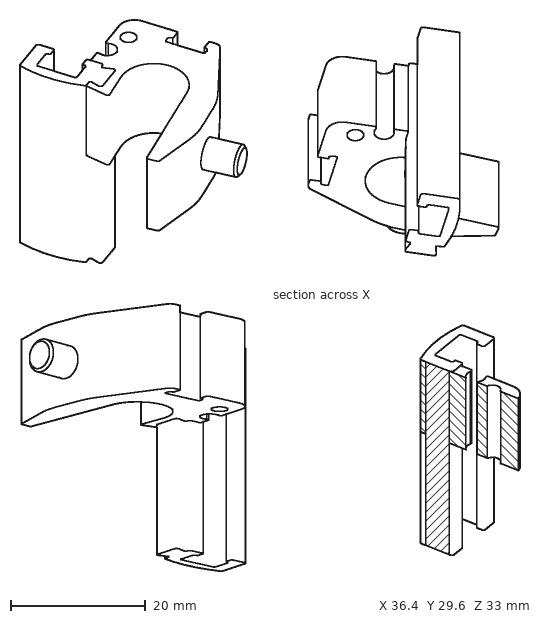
import cadquery as cq
import math

overall_length = 36.4
rail_length = 33.0
clamp_height = 13.0
clamp_bottom = rail_length - clamp_height

rail_width = 11.03
rail_back = -11.97
rail_side_depth = 5.85
rail_bow = 0.8
rail_wall = 2.25
channel_width = 6.62
channel_depth = 4.75
lip_overhang = 0.65
lip_height = 1.45
rail_back_radius = 0.45
rail_front_radius = 0.33
lip_tip_radius = 0.3
channel_corner_radius = 0.33

tongue_end = 13.25
tongue_middle = rail_back - 2.73
tongue_neck_half = 1.82
tongue_end_half = 2.5
tongue_root_radius = 0.3
tongue_tip_radius = 0.4

block_left = rail_wall + channel_width
block_corner_radius = 2.5
flank_radius = 1.1
flank_angle = 25.0

throat_x = 19.95
throat_y = -13.17
throat_radius = 5.25
throat_tilt = 6.0
leg_length = 4.88
leg_end_across = 5.3
leg_corner_radius = 0.33
block_foot_radius = 0.15

jaw_thickness = 5.0
jaw_length = 17.15
jaw_bend = 0.35
jaw_taper_start = 8.75
jaw_tip_width = 2.0
jaw_tip_radius = 0.33
jaw_bend_radius = 10.0

t_slot_left = 17.35
t_slot_mouth_width = 5.15
t_slot_undercut = 0.7
t_slot_mouth_depth = 1.7
t_slot_depth = 2.9
t_slot_shoulder_radius = 0.47
t_slot_floor_radius = 0.22
t_slot_edge_radius = 0.22

hole_diameter = 2.47
hole_x = block_left + 2.5
hole_y = -4.48

keyhole_diameter = 2.95
keyhole_mouth_width = 2.73
keyhole_x = block_left + 1.05
keyhole_y = -8.5
keyhole_edge_radius = 0.2

screw_diameter = 5.0
screw_end_diameter = 4.15
screw_along = 4.85
screw_point_half_angle = 60.0


def throat_point(across, along):
    """Place a point given across the throat and along its walls toward the opening."""
    tilt = math.radians(throat_tilt)
    x = throat_x + across * math.cos(tilt) + along * math.sin(tilt)
    y = throat_y + across * math.sin(tilt) - along * math.cos(tilt)
    return x, y


def round_corners(body, corners, radius):
    """Round the upright edges that stand at the given XY corners."""
    middle_z = body.val().BoundingBox().center.z
    for x, y in corners:
        nearest = cq.selectors.NearestToPointSelector((x, y, middle_z))
        body = body.edges("|Z").edges(nearest).fillet(radius)
    return body


def make_rail():
    rail_front = rail_back - rail_side_depth
    channel_right = rail_wall + channel_width
    mouth_left = rail_wall + lip_overhang
    mouth_right = channel_right - lip_overhang
    lip_under = rail_back - lip_height
    channel_floor = rail_back - channel_depth

    back_corners = [(0, rail_back), (rail_width, rail_back)]
    front_corners = [(rail_width, rail_front), (0, rail_front)]
    tongue_roots = [(rail_width, tongue_middle + side * tongue_neck_half) for side in (1, -1)]
    tongue_tips = [(tongue_end, tongue_middle + side * tongue_end_half) for side in (1, -1)]
    lip_tips = [(mouth_left, rail_back), (mouth_left, lip_under), (mouth_right, rail_back)]
    channel_corners = [
        (rail_wall, lip_under),
        (rail_wall, channel_floor),
        (channel_right, channel_floor),
        (channel_right, lip_under),
    ]

    profile = (
        cq.Workplane("XY")
        .moveTo(*back_corners[0])
        .lineTo(*lip_tips[0])
        .lineTo(*lip_tips[1])
        .polyline(channel_corners, includeCurrent=True)
        .lineTo(mouth_right, lip_under)
        .lineTo(mouth_right, rail_back)
        .lineTo(*back_corners[1])
        .lineTo(*tongue_roots[0])
        .lineTo(*tongue_tips[0])
        .lineTo(*tongue_tips[1])
        .lineTo(*tongue_roots[1])
        .lineTo(*front_corners[0])
        .threePointArc((rail_width / 2, rail_front - rail_bow), front_corners[1])
        .close()
    )
    rail = profile.extrude(rail_length)
    rail = round_corners(rail, back_corners, rail_back_radius)
    rail = round_corners(rail, front_corners, rail_front_radius)
    rail = round_corners(rail, tongue_roots, tongue_root_radius)
    rail = round_corners(rail, tongue_tips, tongue_tip_radius)
    rail = round_corners(rail, lip_tips, lip_tip_radius)
    return round_corners(rail, channel_corners, channel_corner_radius)


def make_clamp_body(rail):
    outer_across = throat_radius + jaw_thickness
    upper_bend = throat_point(outer_across, jaw_bend)
    lower_bend = throat_point(outer_across, jaw_taper_start)
    tip_outer = throat_point(throat_radius + jaw_tip_width, jaw_length)
    tip_inner = throat_point(throat_radius, jaw_length)
    flank_top = (upper_bend[0] + upper_bend[1] * math.tan(math.radians(flank_angle)), 0)
    leg_corners = [
        throat_point(-leg_end_across, leg_length),
        (rail_width, rail_back - rail_side_depth),
    ]
    inside_rail_x = (block_left + rail_width) / 2

    profile = (
        cq.Workplane("XY", origin=(0, 0, clamp_bottom))
        .moveTo(block_left, 0)
        .lineTo(*flank_top)
        .lineTo(*upper_bend)
        .lineTo(*lower_bend)
        .lineTo(*tip_outer)
        .lineTo(*tip_inner)
        .lineTo(*throat_point(throat_radius, 0))
        .threePointArc(throat_point(0, -throat_radius), throat_point(-throat_radius, 0))
        .lineTo(*leg_corners[0])
        .lineTo(*leg_corners[1])
        .lineTo(inside_rail_x, tongue_middle)
        .lineTo(inside_rail_x, rail_back)
        .lineTo(block_left, rail_back)
        .close()
    )
    clamp = profile.extrude(clamp_height)
    clamp = round_corners(clamp, [(block_left, 0)], block_corner_radius)
    clamp = round_corners(clamp, [flank_top], flank_radius)
    clamp = round_corners(clamp, [upper_bend, lower_bend], jaw_bend_radius)
    clamp = round_corners(clamp, [tip_outer, tip_inner], jaw_tip_radius)
    clamp = round_corners(clamp, leg_corners, leg_corner_radius)
    clamp = round_corners(clamp, [(block_left, rail_back)], block_foot_radius)
    return clamp.cut(rail)


def cut_t_slot(clamp):
    mouth_right = t_slot_left + t_slot_mouth_width
    undercut_left = t_slot_left - t_slot_undercut
    undercut_right = mouth_right + t_slot_undercut
    shoulders = [(undercut_left, -t_slot_mouth_depth), (undercut_right, -t_slot_mouth_depth)]
    floor_corners = [(undercut_left, -t_slot_depth), (undercut_right, -t_slot_depth)]
    mouth_edges = [(t_slot_left, 0), (mouth_right, 0)]

    slot = (
        cq.Workplane("XY", origin=(0, 0, clamp_bottom))
        .moveTo(*mouth_edges[0])
        .lineTo(t_slot_left, -t_slot_mouth_depth)
        .lineTo(*shoulders[0])
        .lineTo(*floor_corners[0])
        .lineTo(*floor_corners[1])
        .lineTo(*shoulders[1])
        .lineTo(mouth_right, -t_slot_mouth_depth)
        .lineTo(*mouth_edges[1])
        .close()
        .extrude(clamp_height)
    )
    slot = round_corners(slot, shoulders, t_slot_shoulder_radius)
    slot = round_corners(slot, floor_corners, t_slot_floor_radius)
    return round_corners(clamp.cut(slot), mouth_edges, t_slot_edge_radius)


def cut_hole_and_keyhole(clamp):
    base = cq.Workplane("XY", origin=(0, 0, clamp_bottom))
    hole = base.center(hole_x, hole_y).circle(hole_diameter / 2).extrude(clamp_height)
    bore = base.center(keyhole_x, keyhole_y).circle(keyhole_diameter / 2).extrude(clamp_height)
    mouth_length = keyhole_x - block_left
    mouth = (
        base.center(block_left + mouth_length / 2, keyhole_y)
        .rect(mouth_length, keyhole_mouth_width)
        .extrude(clamp_height)
    )
    mouth_edges = [(block_left, keyhole_y + side * keyhole_mouth_width / 2) for side in (1, -1)]
    clamp = clamp.cut(hole).cut(bore).cut(mouth)
    return round_corners(clamp, mouth_edges, keyhole_edge_radius)


def make_screw():
    radius = screw_diameter / 2
    end_radius = screw_end_diameter / 2
    point_height = radius / math.tan(math.radians(screw_point_half_angle))
    x, y = throat_point(0, screw_along)
    tilt = math.radians(throat_tilt)
    end_across = (overall_length - x - end_radius * math.sin(tilt)) / math.cos(tilt)
    chamfer_start = end_across - (radius - end_radius)
    half_section = [
        (throat_radius - point_height, 0),
        (throat_radius, radius),
        (chamfer_start, radius),
        (end_across, end_radius),
        (end_across, 0),
    ]
    return (
        cq.Workplane("XY")
        .polyline(half_section)
        .close()
        .revolve(360, (0, 0), (1, 0))
        .rotate((0, 0, 0), (0, 0, 1), throat_tilt)
        .translate((x, y, clamp_bottom + clamp_height / 2))
    )


def make_clamp(rail):
    clamp = make_clamp_body(rail)
    clamp = cut_t_slot(clamp)
    clamp = cut_hole_and_keyhole(clamp)
    return clamp.union(make_screw())


rail = make_rail()
clamp = make_clamp(rail)

result = cq.Compound.makeCompound([rail.val(), *clamp.vals()])